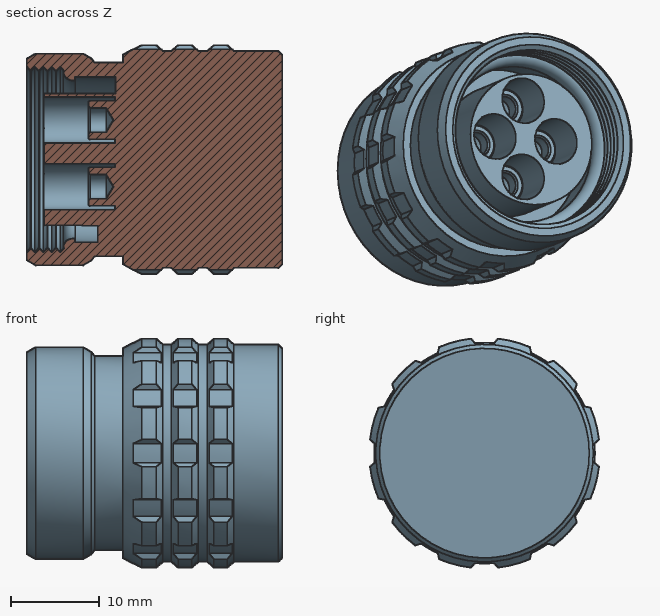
import cadquery as cq
import math

LENGTH = 28.8
FRONT_X = -LENGTH / 2

SLEEVE_R = 11.95
SLEEVE_CHAMFER_LENGTH = 1.0
SLEEVE_CHAMFER_DEPTH = 0.58
SLEEVE_END = 6.35
SHOULDER_R = 11.4
SHOULDER_END = 7.3
NECK_R = 10.95
NECK_START = 7.65
NECK_END = 10.85

CROWN_R = 13.0
REAR_R = 12.25
GRIP_START_R = 11.83
RIDGE_CROWNS = [(12.98, 14.6), (17.05, 18.6), (21.1, 22.6)]
RIDGE_FLANK = CROWN_R - REAR_R
REAR_CHAMFER = 0.45

NOTCH_COUNT = 12
NOTCH_FLOOR_R = 12.45
NOTCH_FLOOR_HALF = 1.08
NOTCH_WALL_SLOPE = 42

MOUTH_R = 10.5
THREAD_CREST_R = 9.98
THREAD_ROOT_R = 10.45
THREAD_PITCH = 0.95
THREAD_START = 0.4
THREAD_TURNS = 4
CREST_WIDTH = 0.1

SEAL_R = 10.0
SEAL_SECTION_R = 1.1
SEAL_LAND = 0.25
SEAL_X = 5.2
BORE_R = 9.3
BORE_DEPTH = 10.0

INSERT_R = 7.46
INSERT_X = 1.95
KEY_HALF_WIDTH = 1.95
KEY_X = 8.0
CAVITY_R = 2.58
CAVITY_DEPTH = 8.0
CAVITY_YZ = [(4.45, 0), (-3.05, 0), (0.98, 4.37), (0.98, -4.37)]

CONTACT_R = 2.2
CONTACT_CHAMFER = 0.14
CONTACT_HEIGHT = 3.0
SOCKET_R = 1.35
SOCKET_CHAMFER = 0.2
SOCKET_DEPTH = 2.0
DRILL_POINT_ANGLE = 118


def revolve_about_x(points, y=0, z=0):
    """Turn a closed (distance from the front face, radius) outline about an axis along X."""
    outline = cq.Workplane("XY").polyline(points).close()
    turned = outline.revolve(360, (0, 0, 0), (1, 0, 0))
    return turned.translate((FRONT_X, y, z))


def rod(radius, start, end, y=0, z=0):
    """Cylinder along X between two distances from the front face."""
    plane = cq.Workplane("YZ", origin=(FRONT_X + start, y, z))
    return plane.circle(radius).extrude(end - start)


def shell_body():
    grip = [(NECK_END, GRIP_START_R)]
    for index, (crown_start, crown_end) in enumerate(RIDGE_CROWNS):
        if index > 0:
            grip.append((crown_start - RIDGE_FLANK, REAR_R))
        grip.append((crown_start, CROWN_R))
        grip.append((crown_end, CROWN_R))
        grip.append((crown_end + RIDGE_FLANK, REAR_R))
    outline = [
        (0, 0),
        (0, SLEEVE_R - SLEEVE_CHAMFER_DEPTH),
        (SLEEVE_CHAMFER_LENGTH, SLEEVE_R),
        (SLEEVE_END, SLEEVE_R),
        (SHOULDER_END, SHOULDER_R),
        (NECK_START, NECK_R),
        (NECK_END, NECK_R),
        *grip,
        (LENGTH - REAR_CHAMFER, REAR_R),
        (LENGTH, REAR_R - REAR_CHAMFER),
        (LENGTH, 0),
    ]
    return revolve_about_x(outline)


def cut_grip_notches(body):
    floor_edge = math.sqrt(NOTCH_FLOOR_R**2 - NOTCH_FLOOR_HALF**2)
    rise = CROWN_R - floor_edge
    top_half = NOTCH_FLOOR_HALF + rise * math.tan(math.radians(NOTCH_WALL_SLOPE))
    section = [
        (-NOTCH_FLOOR_HALF, floor_edge),
        (NOTCH_FLOOR_HALF, floor_edge),
        (top_half, floor_edge + rise),
        (-top_half, floor_edge + rise),
    ]
    start = FRONT_X + NECK_END
    grip_end = FRONT_X + RIDGE_CROWNS[-1][1] + RIDGE_FLANK
    notch = cq.Workplane("YZ", origin=(start, 0, 0)).polyline(section).close()
    notch = notch.extrude(grip_end - start)
    notch = notch.cut(rod(NOTCH_FLOOR_R, NECK_END, LENGTH))
    for index in range(NOTCH_COUNT):
        angle = index * 360 / NOTCH_COUNT
        body = body.cut(notch.rotate((0, 0, 0), (1, 0, 0), angle))
    return body


def front_bore():
    """Space inside the shell: grooved front bore, then the plain bore."""
    outline = [(0, 0), (0, MOUTH_R), (THREAD_START, THREAD_CREST_R)]
    for turn in range(THREAD_TURNS):
        crest = THREAD_START + turn * THREAD_PITCH
        root = crest + (THREAD_PITCH + CREST_WIDTH) / 2
        outline.append((crest + CREST_WIDTH, THREAD_CREST_R))
        outline.append((root, THREAD_ROOT_R))
        outline.append((crest + THREAD_PITCH, THREAD_CREST_R))
    outline += [
        (SEAL_X, THREAD_CREST_R),
        (SEAL_X, BORE_R),
        (BORE_DEPTH, BORE_R),
        (BORE_DEPTH, 0),
    ]
    return revolve_about_x(outline)


def seal_ring():
    """Ring with a rounded front edge and a short cylindrical land at its smallest radius."""
    inner_r = SEAL_R - SEAL_SECTION_R
    diagonal = SEAL_SECTION_R * math.sqrt(0.5)
    section = (
        cq.Workplane("XY")
        .moveTo(SEAL_X - SEAL_SECTION_R, SEAL_R)
        .threePointArc((SEAL_X - diagonal, SEAL_R - diagonal), (SEAL_X, inner_r))
        .lineTo(SEAL_X + SEAL_LAND, inner_r)
        .lineTo(SEAL_X + SEAL_LAND, SEAL_R)
        .close()
    )
    ring = section.revolve(360, (0, 0, 0), (1, 0, 0))
    return ring.translate((FRONT_X, 0, 0))


def insert_with_key():
    insert = rod(INSERT_R, INSERT_X, BORE_DEPTH)
    key = cq.Workplane("XY").box(BORE_DEPTH - KEY_X, BORE_R, 2 * KEY_HALF_WIDTH)
    key = key.translate((FRONT_X + (KEY_X + BORE_DEPTH) / 2, -BORE_R / 2, 0))
    return insert.union(key)


def contact(y, z):
    tip = INSERT_X + CAVITY_DEPTH - CONTACT_HEIGHT
    point_length = SOCKET_R / math.tan(math.radians(DRILL_POINT_ANGLE / 2))
    outline = [
        (tip, SOCKET_R + SOCKET_CHAMFER),
        (tip, CONTACT_R - CONTACT_CHAMFER),
        (tip + CONTACT_CHAMFER, CONTACT_R),
        (tip + CONTACT_HEIGHT, CONTACT_R),
        (tip + CONTACT_HEIGHT, 0),
        (tip + SOCKET_DEPTH + point_length, 0),
        (tip + SOCKET_DEPTH, SOCKET_R),
        (tip + SOCKET_CHAMFER, SOCKET_R),
    ]
    return revolve_about_x(outline, y, z)


result = cut_grip_notches(shell_body())
result = result.cut(front_bore()).union(seal_ring()).union(insert_with_key())
for cavity_y, cavity_z in CAVITY_YZ:
    cavity = rod(CAVITY_R, INSERT_X, INSERT_X + CAVITY_DEPTH, cavity_y, cavity_z)
    result = result.cut(cavity).union(contact(cavity_y, cavity_z))